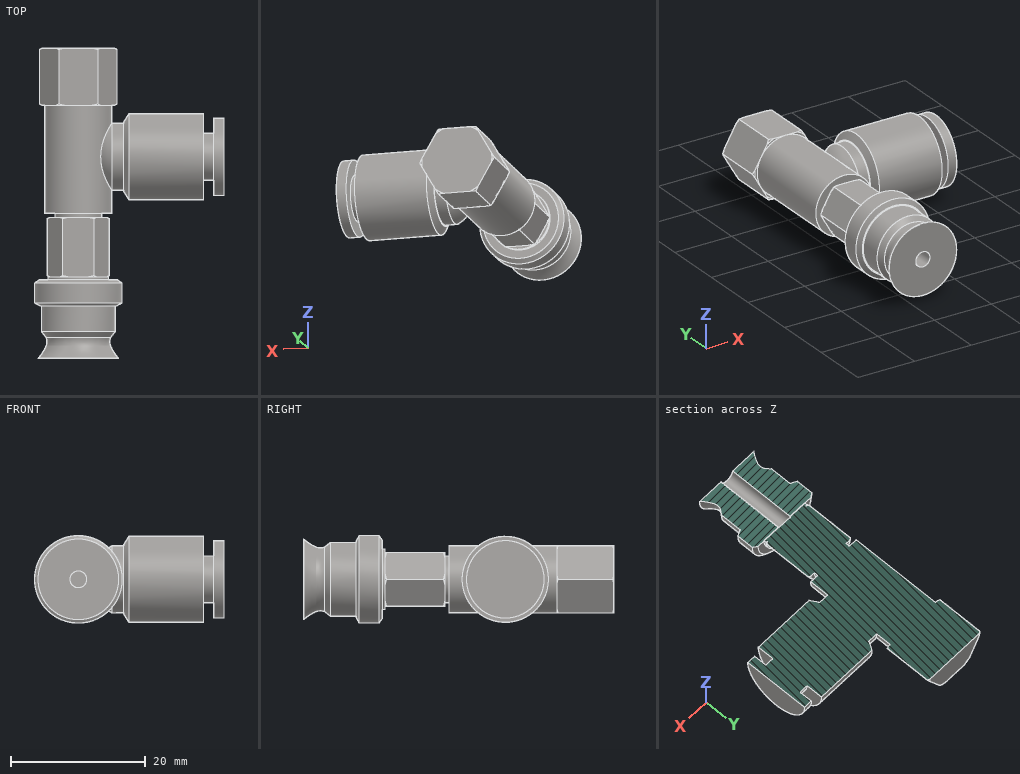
import cadquery as cq
import math

pad_bore_radius = 1.25
lip_radius = 6.0
neck_end_radius = 4.8
neck_waist_radius = 4.7
pad_body_radius = 5.495
collar_radius = 6.51
collar_top_radius = 5.8
collar_bottom_radius = 5.65
neck_bottom = 1.9
neck_top = 3.1
pad_body_bottom = 4.0
collar_bottom = 7.77
collar_bottom_edge = 8.25
collar_top_edge = 11.2
pad_top = 11.7
lip_mid_radius = 5.3
lip_mid_height = 0.9

flange_radius = 4.5
lower_hex_bottom = 12.1
lower_hex_top = 20.95
lower_hex_flats = 8.0
swivel_neck_radius = 3.5
barrel_bottom = 21.55
barrel_top = 37.55
barrel_radius = 4.99
column_top = 46.0
upper_hex_flats = 2 * barrel_radius
hex_chamfer_height = 0.2
hex_chamfer_depth = 0.35

branch_height = 29.9
stub_radius = barrel_radius
dome_radius = 5.55
stub_start = barrel_radius
stub_end = 6.7
shell_cone_radius = 5.15
shell_start = 7.5
shell_end = 18.6
shell_radius = 6.4
release_neck_radius = swivel_neck_radius
release_ring_start = 20.05
release_ring_end = 21.595
release_ring_radius = 5.75


def cylinder_y(radius, start, end):
    """Cylinder on the column axis between two heights."""
    plane = cq.Plane(origin=(0, start, 0), xDir=(1, 0, 0), normal=(0, 1, 0))
    return cq.Workplane(plane).circle(radius).extrude(end - start)


def chamfered_hex(flats, start, end):
    """Hexagonal prism with corners on +X and -X and coned ends."""
    corner_radius = flats / math.sqrt(3)
    end_radius = corner_radius - hex_chamfer_depth
    plane = cq.Plane(origin=(0, start, 0), xDir=(1, 0, 0), normal=(0, 1, 0))
    prism = cq.Workplane(plane).polygon(6, 2 * corner_radius).extrude(end - start)
    envelope = (
        cq.Workplane("XY")
        .moveTo(0, start)
        .lineTo(end_radius, start)
        .lineTo(corner_radius, start + hex_chamfer_height)
        .lineTo(corner_radius, end - hex_chamfer_height)
        .lineTo(end_radius, end)
        .lineTo(0, end)
        .close()
        .revolve(360, (0, 0, 0), (0, 1, 0))
    )
    return prism.intersect(envelope)


def make_suction_pad():
    """Collared pad with a concave neck, a flared lip and a suction bore."""
    return (
        cq.Workplane("XY")
        .moveTo(pad_bore_radius, 0)
        .lineTo(lip_radius, 0)
        .threePointArc((lip_mid_radius, lip_mid_height), (neck_end_radius, neck_bottom))
        .threePointArc((neck_waist_radius, (neck_bottom + neck_top) / 2), (neck_end_radius, neck_top))
        .lineTo(pad_body_radius, pad_body_bottom)
        .lineTo(pad_body_radius, collar_bottom)
        .lineTo(collar_bottom_radius, collar_bottom)
        .lineTo(collar_radius, collar_bottom_edge)
        .lineTo(collar_radius, collar_top_edge)
        .lineTo(collar_top_radius, pad_top)
        .lineTo(pad_bore_radius, pad_top)
        .close()
        .revolve(360, (0, 0, 0), (0, 1, 0))
    )


def make_column():
    """Flange, lower hexagon, swivel neck, barrel and upper hexagon."""
    return (
        cylinder_y(flange_radius, pad_top, lower_hex_bottom)
        .union(chamfered_hex(lower_hex_flats, lower_hex_bottom, lower_hex_top))
        .union(cylinder_y(swivel_neck_radius, lower_hex_top, barrel_bottom))
        .union(cylinder_y(barrel_radius, barrel_bottom, barrel_top))
        .union(chamfered_hex(upper_hex_flats, barrel_top, column_top))
    )


def make_branch():
    """Push-in branch: spherical root, stub, shell and release ring."""
    dome_center = stub_start + math.sqrt(dome_radius**2 - stub_radius**2)
    dome_tip = dome_center - dome_radius
    half_angle = math.asin(stub_radius / dome_radius) / 2
    dome_mid = (
        dome_center - dome_radius * math.cos(half_angle),
        dome_radius * math.sin(half_angle),
    )
    return (
        cq.Workplane("XY", origin=(0, branch_height, 0))
        .moveTo(dome_tip, 0)
        .threePointArc(dome_mid, (stub_start, stub_radius))
        .lineTo(stub_end, stub_radius)
        .lineTo(stub_end, shell_cone_radius)
        .lineTo(shell_start, shell_radius)
        .lineTo(shell_end, shell_radius)
        .lineTo(shell_end, release_neck_radius)
        .lineTo(release_ring_start, release_neck_radius)
        .lineTo(release_ring_start, release_ring_radius)
        .lineTo(release_ring_end, release_ring_radius)
        .lineTo(release_ring_end, 0)
        .close()
        .revolve(360, (0, 0, 0), (1, 0, 0))
    )


suction_pad = make_suction_pad()
fitting = make_column().union(make_branch())

result = cq.Compound.makeCompound([suction_pad.val(), fitting.solids().val()])